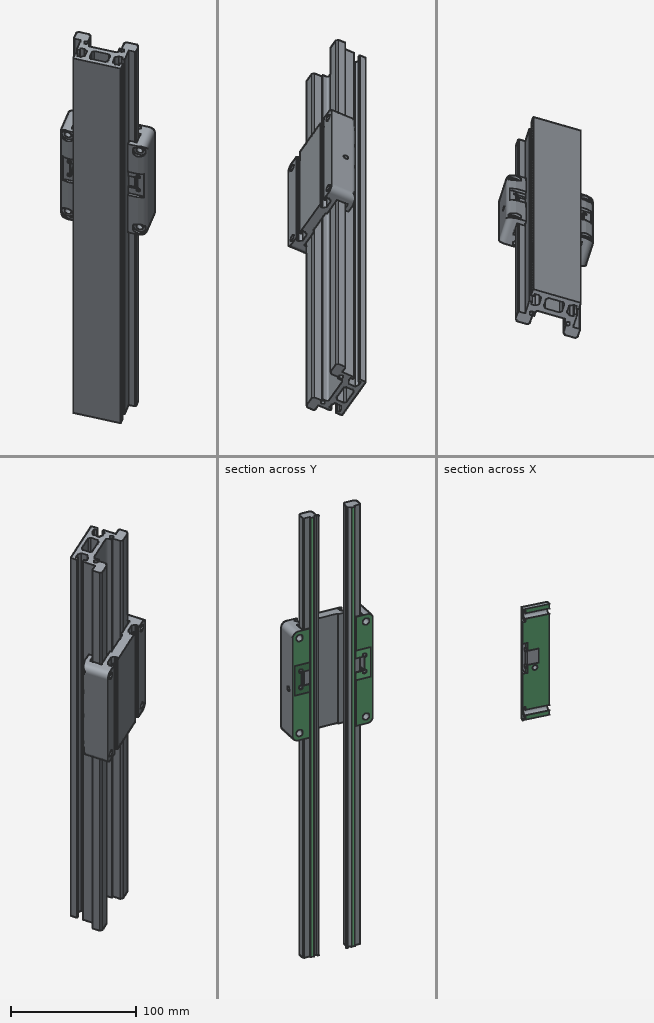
import cadquery as cq


RAIL_LENGTH = 400.0
FLANGE_HALF = 20.0
FLOOR_TOP = 3.5
WEB_BOTTOM = 13.0
WEB_TOP = 17.0
CHAMBER_HALF = 7.5
CHAMBER_CHAMFER = 1.5
CHANNEL_HALF = 12.5
CHANNEL_FILLET = 1.5
HEAD_OUTER = 26.0
HEAD_INNER = 14.0
HEAD_FRONT = 21.5
HEAD_BACK = 30.0
HEAD_CHAMFER = 1.5
HEAD_EDGE_CHAMFER = 1.0
EDGE_CHAMFER = 0.5
DUCT_RADIUS = 1.5
DUCT_X = 15.0
DUCT_Y = 20.0
RAIL_SLOT_Y = (FLOOR_TOP + WEB_BOTTOM) / 2
RAIL_SLOT_WIDTH = WEB_BOTTOM - FLOOR_TOP
RAIL_SLOT_LIP = 2.5
RAIL_SLOT_DEPTH = 8.5
RAIL_SLOT_FLOOR = 5.5
RAIL_SLOT_SHOULDER = 3.0

SLOT_OPENING = 5.0

CARRIAGE_HALF = 36.5
CARRIAGE_BACK = 40.0
CARRIAGE_FRONT = 16.5
CARRIAGE_LENGTH = 99.5
CARRIAGE_BOTTOM = 200.0
CARRIAGE_MIDDLE = CARRIAGE_BOTTOM + CARRIAGE_LENGTH / 2
CORNER_RADIUS = 5.0
FRONT_RADIUS = 4.0
SLOPE_START = 29.0
SLOPE_DROP = 1.5
POCKET_HALF = 27.0
POCKET_FRONT = 20.5
POCKET_BACK = 30.5
LIP_INNER = 21.0
RELIEF_HALF = 10.5
RELIEF_DEPTH = 1.0
CARRIAGE_SLOT_X = 20.0
CARRIAGE_SLOT_LIP = 1.5
CARRIAGE_SLOT_WIDTH = 11.0
CARRIAGE_SLOT_DEPTH = 6.0
CARRIAGE_SLOT_FLOOR = 7.0
CARRIAGE_SLOT_SHOULDER = 2.0

HOLE_X = 30.0
HOLE_PITCH = 86.5
HOLE_RADIUS = 3.0
COUNTERBORE_RADIUS = 5.0
RECESS_DEPTH = 2.5
SIDE_HOLE_RADIUS = 2.0
SIDE_HOLE_Y = 27.0
SIDE_HOLE_Z = 245.0

WINDOW_OUTER = 34.0
WINDOW_HEIGHT = 26.5
WINDOW_Z = 255.0
INSERT_INNER = 20.5
NOTCH_OUTER = 28.5
NOTCH_HEIGHT = 12.5
NOTCH_RELIEF_RADIUS = 1.5
NOTCH_RELIEF_SPACING = 15.0
NOTCH_RELIEF_X = 29.0

SIDES = (-1, 1)
ENDS = (-1, 1)


def block(x_range, y_range, z_range):
    """Box between the given limits; each pair may come in either order."""
    x0, x1 = sorted(x_range)
    y0, y1 = sorted(y_range)
    z0, z1 = sorted(z_range)
    return cq.Workplane("XY").box(x1 - x0, y1 - y0, z1 - z0, centered=False).translate((x0, y0, z0))


def y_cylinder(x, z, radius, y_start, y_end):
    """Cylinder along +Y."""
    start = cq.Vector(x, y_start, z)
    return cq.Workplane(cq.Solid.makeCylinder(radius, y_end - y_start, start, cq.Vector(0, 1, 0)))


def t_slot(lip, width, shoulder, depth, floor, length):
    """T-slot cutter along Z, entering at the origin and going toward -Y."""
    outline = [
        (SLOT_OPENING / 2 + EDGE_CHAMFER, 0),
        (SLOT_OPENING / 2, -EDGE_CHAMFER),
        (SLOT_OPENING / 2, -lip),
        (width / 2, -lip),
        (width / 2, -lip - shoulder),
        (floor / 2, -depth),
    ]
    mirrored = [(-x, y) for x, y in reversed(outline)]
    return cq.Workplane("XY").polyline(outline + mirrored).close().extrude(length)


def make_rail():
    along = (0, RAIL_LENGTH)
    rail = block((-FLANGE_HALF, FLANGE_HALF), (0, HEAD_FRONT), along)
    rail = rail.edges("|Z and <Y").chamfer(EDGE_CHAMFER)

    for side in SIDES:
        head = block((side * HEAD_INNER, side * HEAD_OUTER), (HEAD_FRONT, HEAD_BACK), along)
        head = head.edges("|Z and >Y").chamfer(HEAD_CHAMFER)
        outer = ">X" if side > 0 else "<X"
        rail = rail.union(head.edges(f"|Z and <Y and {outer}").chamfer(HEAD_EDGE_CHAMFER))

    channel = block((-CHANNEL_HALF, CHANNEL_HALF), (WEB_TOP, HEAD_FRONT), along)
    rail = rail.cut(channel.edges("|Z and <Y").fillet(CHANNEL_FILLET))

    chamber = block((-CHAMBER_HALF, CHAMBER_HALF), (FLOOR_TOP, WEB_BOTTOM), along)
    rail = rail.cut(chamber.edges("|Z").chamfer(CHAMBER_CHAMFER))

    slot = t_slot(
        lip=RAIL_SLOT_LIP,
        width=RAIL_SLOT_WIDTH,
        shoulder=RAIL_SLOT_SHOULDER,
        depth=RAIL_SLOT_DEPTH,
        floor=RAIL_SLOT_FLOOR,
        length=RAIL_LENGTH,
    )
    for side in SIDES:
        turned = slot.rotate((0, 0, 0), (0, 0, 1), -90 * side)
        rail = rail.cut(turned.translate((side * FLANGE_HALF, RAIL_SLOT_Y, 0)))
        duct = cq.Workplane("XY").center(side * DUCT_X, DUCT_Y).circle(DUCT_RADIUS)
        rail = rail.cut(duct.extrude(RAIL_LENGTH))
    return rail


def carriage_blank():
    """Outer shape: sloped front shoulders, rounded front edges and rounded corners."""
    outline = [
        (SLOPE_START, CARRIAGE_FRONT),
        (CARRIAGE_HALF, CARRIAGE_FRONT + SLOPE_DROP),
        (CARRIAGE_HALF, CARRIAGE_BACK),
    ]
    mirrored = [(-x, y) for x, y in reversed(outline)]
    blank = cq.Workplane("XY").polyline(outline + mirrored).close().extrude(CARRIAGE_LENGTH)
    blank = blank.translate((0, 0, CARRIAGE_BOTTOM))
    front_edges = cq.selectors.BoxSelector(
        (-2 * CARRIAGE_HALF, CARRIAGE_FRONT + SLOPE_DROP / 2, 0),
        (2 * CARRIAGE_HALF, CARRIAGE_FRONT + 2 * SLOPE_DROP, RAIL_LENGTH),
    )
    blank = blank.edges("|Z").edges(front_edges).fillet(FRONT_RADIUS)
    corners = block(
        (-CARRIAGE_HALF, CARRIAGE_HALF),
        (CARRIAGE_FRONT, CARRIAGE_BACK),
        (CARRIAGE_BOTTOM, CARRIAGE_BOTTOM + CARRIAGE_LENGTH),
    )
    return blank.intersect(corners.edges("|Y").fillet(CORNER_RADIUS))


def window_space(side, y_range, inner):
    """Window of one lip, from the given inner X to its outer end."""
    z_range = (WINDOW_Z - WINDOW_HEIGHT / 2, WINDOW_Z + WINDOW_HEIGHT / 2)
    return block((side * inner, side * WINDOW_OUTER), y_range, z_range)


def notch_space(side, y_range):
    """Rectangular notch in the middle of one window, open toward the rail."""
    z_range = (WINDOW_Z - NOTCH_HEIGHT / 2, WINDOW_Z + NOTCH_HEIGHT / 2)
    return block((side * INSERT_INNER, side * NOTCH_OUTER), y_range, z_range)


def make_carriage():
    along = (CARRIAGE_BOTTOM, CARRIAGE_BOTTOM + CARRIAGE_LENGTH)
    carriage = carriage_blank()

    carriage = carriage.cut(block((-POCKET_HALF, POCKET_HALF), (POCKET_FRONT, POCKET_BACK), along))
    relief = block((-RELIEF_HALF, RELIEF_HALF), (POCKET_BACK, POCKET_BACK + RELIEF_DEPTH), along)
    carriage = carriage.cut(relief)
    carriage = carriage.cut(block((-LIP_INNER, LIP_INNER), (CARRIAGE_FRONT, POCKET_FRONT), along))

    slot = t_slot(
        lip=CARRIAGE_SLOT_LIP,
        width=CARRIAGE_SLOT_WIDTH,
        shoulder=CARRIAGE_SLOT_SHOULDER,
        depth=CARRIAGE_SLOT_DEPTH,
        floor=CARRIAGE_SLOT_FLOOR,
        length=CARRIAGE_LENGTH,
    )
    for side in SIDES:
        carriage = carriage.cut(slot.translate((side * CARRIAGE_SLOT_X, CARRIAGE_BACK, CARRIAGE_BOTTOM)))

        carriage = carriage.cut(window_space(side, (CARRIAGE_FRONT, POCKET_FRONT), LIP_INNER))
        carriage = carriage.cut(notch_space(side, (POCKET_FRONT, POCKET_BACK)))

        for end in ENDS:
            z = CARRIAGE_MIDDLE + end * HOLE_PITCH / 2
            x = side * HOLE_X
            carriage = carriage.cut(y_cylinder(x, z, HOLE_RADIUS, CARRIAGE_FRONT, CARRIAGE_BACK))
            counterbore_floor = CARRIAGE_FRONT + RECESS_DEPTH
            carriage = carriage.cut(y_cylinder(x, z, COUNTERBORE_RADIUS, CARRIAGE_FRONT, counterbore_floor))

    side_hole = cq.Solid.makeCylinder(
        SIDE_HOLE_RADIUS,
        CARRIAGE_HALF - POCKET_HALF,
        cq.Vector(-CARRIAGE_HALF, SIDE_HOLE_Y, SIDE_HOLE_Z),
        cq.Vector(1, 0, 0),
    )
    return carriage.cut(cq.Workplane(side_hole))


def make_insert(side):
    """Plate in the window of one lip, notched from its inner edge, with round reliefs at the corners."""
    y_range = (CARRIAGE_FRONT + RECESS_DEPTH, POCKET_FRONT)
    insert = window_space(side, y_range, INSERT_INNER)
    insert = insert.cut(notch_space(side, y_range))
    for end in ENDS:
        z = WINDOW_Z + end * NOTCH_RELIEF_SPACING / 2
        insert = insert.cut(y_cylinder(side * NOTCH_RELIEF_X, z, NOTCH_RELIEF_RADIUS, *y_range))
    return insert


rail = make_rail()
carriage = make_carriage()
inserts = [make_insert(side) for side in SIDES]

result = cq.Compound.makeCompound([rail.val(), carriage.val(), *[insert.val() for insert in inserts]])